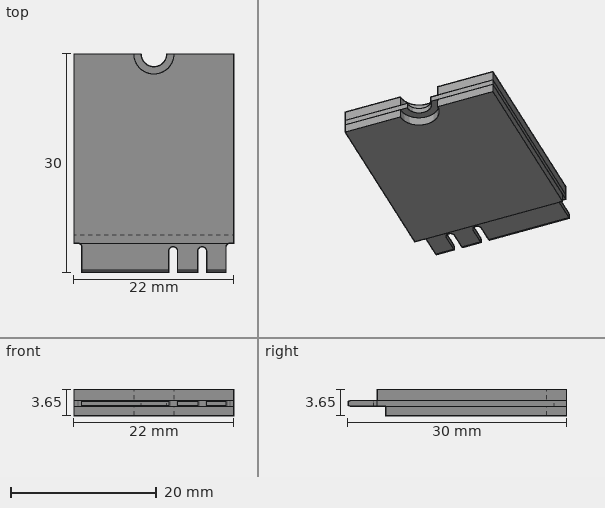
import cadquery as cq

width = 22.0
length = 30.0
front_y = -length / 2
back_y = length / 2

base_height = 1.32
board_height = 0.8
lid_height = 1.53
board_z = base_height
lid_z = board_z + board_height

lid_length = 26.0
base_length = 24.85

board_notch_radius = 1.75
block_notch_radius = 2.75

tongue_inset = 1.08
tongue_width = width - 2 * tongue_inset
root_radius = 0.5
edge_chamfer_depth = 0.3
edge_chamfer_height = 0.12

slot_width = 1.2
slot_length = 3.5
slot_positions = (2.65, 6.63)


def notch_cutter(radius, bottom, height):
    """Cylinder centred on the back edge."""
    return cq.Workplane("XY", origin=(0, back_y, bottom)).circle(radius).extrude(height)


def make_block(block_length, bottom, height):
    """Plain notched block, flush with the back edge of the board."""
    block = (
        cq.Workplane("XY", origin=(0, back_y - block_length / 2, bottom))
        .rect(width, block_length)
        .extrude(height)
    )
    return block.cut(notch_cutter(block_notch_radius, bottom, height))


def board_outline():
    """Full-width board with a narrower tongue and rounded inner corners."""
    side_x = width / 2
    tongue_x = tongue_width / 2
    shoulder_y = back_y - lid_length
    root_y = shoulder_y - root_radius
    root_x = tongue_x + root_radius
    return (
        cq.Workplane("XY", origin=(0, 0, board_z))
        .moveTo(-side_x, back_y)
        .lineTo(-side_x, shoulder_y)
        .lineTo(-root_x, shoulder_y)
        .radiusArc((-tongue_x, root_y), root_radius)
        .lineTo(-tongue_x, front_y)
        .lineTo(tongue_x, front_y)
        .lineTo(tongue_x, root_y)
        .radiusArc((root_x, shoulder_y), root_radius)
        .lineTo(side_x, shoulder_y)
        .lineTo(side_x, back_y)
        .close()
    )


def edge_bevel(face_z, inward):
    """Wedge along the connector edge; inward is the Z direction into the board."""
    return (
        cq.Workplane("YZ")
        .moveTo(front_y, face_z)
        .lineTo(front_y + edge_chamfer_depth, face_z)
        .lineTo(front_y, face_z + inward * edge_chamfer_height)
        .close()
        .extrude(width / 2, both=True)
    )


def key_slot(x):
    """Slot open at the connector edge, with a round inner end."""
    end_radius = slot_width / 2
    end_y = front_y + slot_length - end_radius
    return (
        cq.Workplane("XY", origin=(x, 0, board_z))
        .moveTo(-end_radius, front_y)
        .lineTo(-end_radius, end_y)
        .threePointArc((0, end_y + end_radius), (end_radius, end_y))
        .lineTo(end_radius, front_y)
        .close()
        .extrude(board_height)
    )


def make_board():
    """Circuit board with screw notch, bevelled connector edge and key slots."""
    body = board_outline().extrude(board_height)
    body = body.cut(notch_cutter(board_notch_radius, board_z, board_height))
    body = body.cut(edge_bevel(board_z, 1))
    body = body.cut(edge_bevel(lid_z, -1))
    for x in slot_positions:
        body = body.cut(key_slot(x))
    return body


base = make_block(base_length, 0, base_height)
board = make_board()
lid = make_block(lid_length, lid_z, lid_height)

result = cq.Compound.makeCompound([base.val(), board.val(), lid.val()])